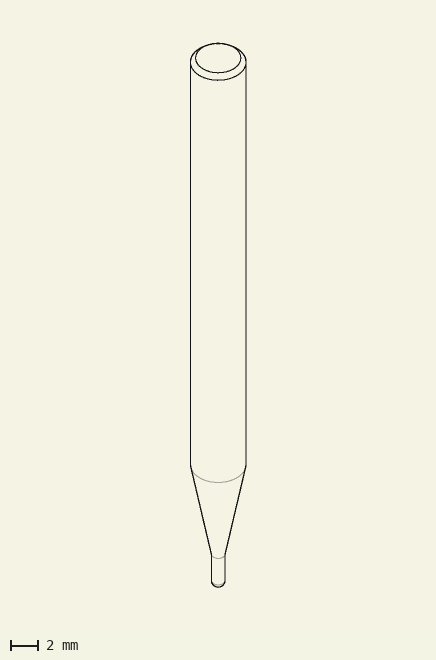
import cadquery as cq
import math

overall_length = 50.0
shank_diameter = 4.0
shank_start_height = 11.5
neck_diameter = 1
neck_end_height = 3
end_chamfer = 0.38

shank_radius = shank_diameter / 2
ball_radius = neck_diameter / 2


def cutter_profile():
    """Half section in the XZ plane, from the ball tip up to the chamfered end."""
    arc_mid_x = ball_radius * math.sin(math.radians(45))
    arc_mid_z = ball_radius * (1 - math.cos(math.radians(45)))
    return (
        cq.Workplane("XZ")
        .moveTo(0, 0)
        .threePointArc((arc_mid_x, arc_mid_z), (ball_radius, ball_radius))
        .lineTo(ball_radius, neck_end_height)
        .lineTo(shank_radius, shank_start_height)
        .lineTo(shank_radius, overall_length - end_chamfer)
        .lineTo(shank_radius - end_chamfer, overall_length)
        .lineTo(0, overall_length)
        .close()
    )


result = cutter_profile().revolve(360, (0, 0, 0), (0, 1, 0))